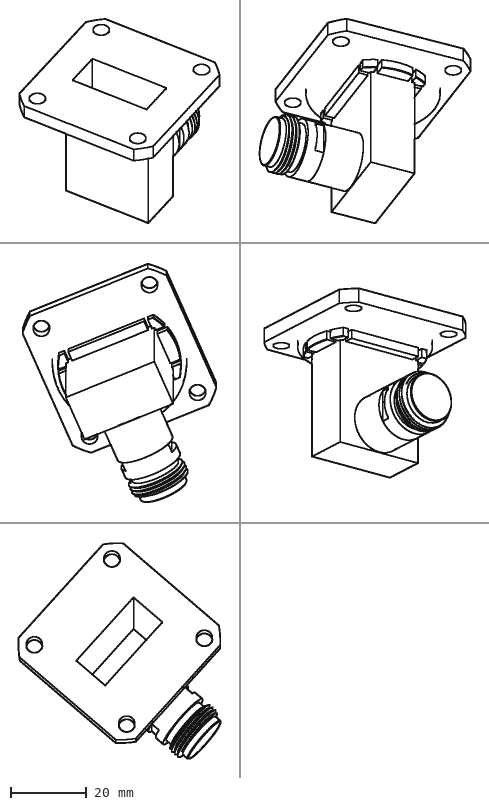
import cadquery as cq
import math


plate_size = 41.27
plate_thickness = 3.95
plate_corner_radius = 26.68
mount_hole_diameter = 4.3
mount_hole_spacing_x = 31.0
mount_hole_spacing_y = 32.5

hub_radius = 17.75
hub_bottom_z = -6.55
hub_edge_radius = 0.4

collar_radius = 16.27
collar_width_y = 18.04
collar_bottom_z = -9.02
collar_edge_chamfer = 0.15
slot_width = 1.1
slot_offset_x = 11.43
slot_offset_y = 5.0

waveguide_wall = 1.27
opening_x = 22.86
opening_y = 10.16
waveguide_x = opening_x + 2 * waveguide_wall
waveguide_y = opening_y + 2 * waveguide_wall
overall_height = 38.1
cavity_depth = overall_height - waveguide_wall

coax_axis_z = -30.0
coax_radius = 7.9375
sleeve_start_y = waveguide_y / 2
sleeve_end_y = 17.25
connector_end_y = 29.975
shoulder_length = 5.1
barrel_radius = 6.65
barrel_end_chamfer = 0.2
wrench_flat_length = 2.5
wrench_flat_distance = barrel_radius

thread_start = 6.9
thread_end = 10.85
thread_pitch = 25.4 / 24
thread_root_radius = 7.22
thread_end_taper = 0.55
thread_envelope_clearance = 0.2
thread_crest_width = 0.06
thread_base_width = 0.93 * thread_pitch
thread_root_overlap = 0.05
thread_phase = 0.16


def box_below(size_x, size_y, top_z, bottom_z):
    """Box centred on the Z axis between two heights."""
    return cq.Workplane("XY").workplane(offset=bottom_z).rect(size_x, size_y).extrude(top_z - bottom_z)


def disc_below(radius, top_z, bottom_z):
    """Disc centred on the Z axis between two heights."""
    return cq.Workplane("XY").workplane(offset=bottom_z).circle(radius).extrude(top_z - bottom_z)


def make_plate():
    """Square plate with arc-trimmed corners."""
    square = box_below(plate_size, plate_size, 0, -plate_thickness)
    return square.intersect(disc_below(plate_corner_radius, 0, -plate_thickness))


def make_hub():
    """Round hub, flared into the plate and rounded at its lower edge."""
    inner_radius = hub_radius - hub_edge_radius
    flare_radius = hub_radius + hub_edge_radius
    flare_bottom_z = -plate_thickness - hub_edge_radius
    rounding_top_z = hub_bottom_z + hub_edge_radius
    arc_inset = hub_edge_radius * (1 - math.sqrt(0.5))
    profile = (
        cq.Workplane("XZ")
        .moveTo(0, -plate_thickness)
        .lineTo(flare_radius, -plate_thickness)
        .threePointArc(
            (hub_radius + arc_inset, -plate_thickness - arc_inset),
            (hub_radius, flare_bottom_z),
        )
        .lineTo(hub_radius, rounding_top_z)
        .threePointArc(
            (hub_radius - arc_inset, hub_bottom_z + arc_inset),
            (inner_radius, hub_bottom_z),
        )
        .lineTo(0, hub_bottom_z)
        .close()
    )
    return profile.revolve(360, (0, 0, 0), (0, 1, 0))


def make_collar():
    """Flat-sided round collar, slotted in both directions down to the waveguide."""
    disc = disc_below(collar_radius, hub_bottom_z, collar_bottom_z)
    disc = disc.faces("<Z").chamfer(collar_edge_chamfer)
    collar = disc.intersect(box_below(2 * collar_radius, collar_width_y, hub_bottom_z, collar_bottom_z))
    slot_along_y = box_below(slot_width, 2 * collar_radius, hub_bottom_z, collar_bottom_z)
    slot_along_x = box_below(2 * collar_radius, slot_width, hub_bottom_z, collar_bottom_z)
    for side in (-1, 1):
        collar = collar.cut(slot_along_y.translate((side * slot_offset_x, 0, 0)))
        collar = collar.cut(slot_along_x.translate((0, side * slot_offset_y, 0)))
    return collar


def make_waveguide():
    """Flange and closed-end rectangular waveguide in one piece."""
    body = make_plate().union(make_hub()).union(make_collar())
    body = body.union(box_below(waveguide_x, waveguide_y, -plate_thickness, -overall_height))
    body = body.cut(box_below(opening_x, opening_y, 0, -cavity_depth))
    mount_holes = (
        cq.Workplane("XY")
        .rarray(mount_hole_spacing_x, mount_hole_spacing_y, 2, 2)
        .circle(mount_hole_diameter / 2)
        .extrude(-plate_thickness)
    )
    return body.cut(mount_holes)


def place_on_coax_axis(body, rear_y):
    """Turn a body built up along +Z to point along +Y and set its rear face at rear_y."""
    return body.rotate((0, 0, 0), (1, 0, 0), -90).translate((0, rear_y, coax_axis_z))


def make_sleeve():
    """Round sleeve between the waveguide wall and the connector."""
    sleeve = cq.Workplane("XY").circle(coax_radius).extrude(sleeve_end_y - sleeve_start_y)
    return place_on_coax_axis(sleeve, sleeve_start_y)


def make_thread_ridge():
    """Helical ridge of V section, running one turn past both ends of the thread."""
    start = thread_start + (thread_phase - 1) * thread_pitch
    length = thread_end - thread_start + 2 * thread_pitch
    base_radius = thread_root_radius - thread_root_overlap
    path = cq.Wire.makeHelix(thread_pitch, length, base_radius).translate(cq.Vector(0, 0, start))
    section = cq.Workplane("XZ").polyline(
        [
            (base_radius, start - thread_base_width / 2),
            (coax_radius, start - thread_crest_width / 2),
            (coax_radius, start + thread_crest_width / 2),
            (base_radius, start + thread_base_width / 2),
        ]
    ).close()
    return section.sweep(cq.Workplane(path), isFrenet=True)


def make_thread():
    """Threaded length with tapered ends."""
    envelope_radius = coax_radius + thread_envelope_clearance
    envelope = (
        cq.Workplane("XZ")
        .polyline(
            [
                (0, thread_start),
                (barrel_radius, thread_start),
                (envelope_radius, thread_start + thread_end_taper),
                (envelope_radius, thread_end - thread_end_taper),
                (barrel_radius, thread_end),
                (0, thread_end),
            ]
        )
        .close()
        .revolve(360, (0, 0, 0), (0, 1, 0))
    )
    core = (
        cq.Workplane("XY")
        .workplane(offset=thread_start - 2 * thread_pitch)
        .circle(thread_root_radius)
        .extrude(thread_end - thread_start + 4 * thread_pitch)
    )
    return core.union(make_thread_ridge()).intersect(envelope)


def make_connector():
    """Threaded connector with two wrench flats at its rear shoulder."""
    length = connector_end_y - sleeve_end_y
    shoulder = cq.Workplane("XY").circle(coax_radius).extrude(shoulder_length)
    flat_cut_depth = coax_radius - wrench_flat_distance
    for side in (-1, 1):
        flat_cut = (
            cq.Workplane("XY")
            .center(side * (wrench_flat_distance + flat_cut_depth / 2), 0)
            .rect(flat_cut_depth, 2 * coax_radius)
            .extrude(wrench_flat_length)
        )
        shoulder = shoulder.cut(flat_cut)
    barrel = (
        cq.Workplane("XY")
        .workplane(offset=shoulder_length)
        .circle(barrel_radius)
        .extrude(length - shoulder_length)
        .faces(">Z")
        .chamfer(barrel_end_chamfer)
    )
    connector = shoulder.union(barrel).union(make_thread())
    return place_on_coax_axis(connector, sleeve_end_y)


waveguide = make_waveguide()
sleeve = make_sleeve()
connector = make_connector()

result = cq.Compound.makeCompound(
    [waveguide.solids().val(), sleeve.solids().val(), connector.solids().val()]
)